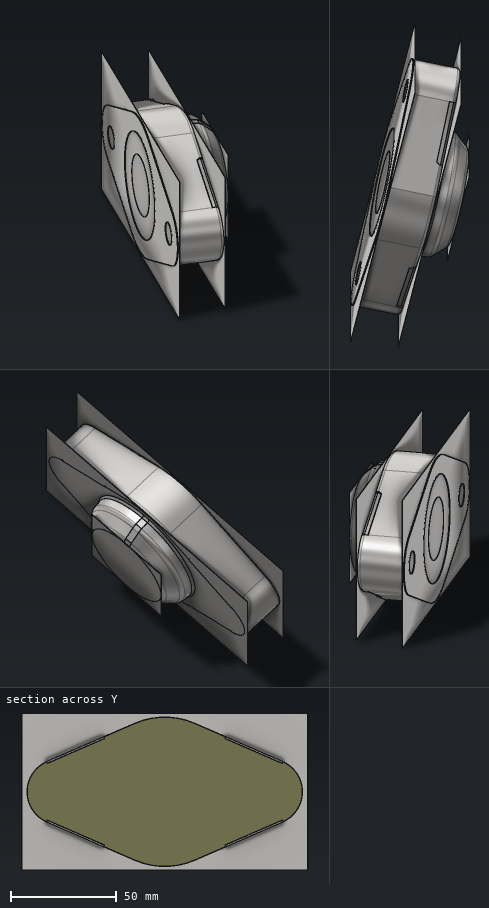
import cadquery as cq
import math

centre_radius = 35.3
end_radius = 15.5
end_offset = 49.5
outline_slope = math.asin((centre_radius - end_radius) / end_offset)

gasket_thickness = 0.4
sheet_thickness = 0.1
body_back = 23.3
rim_radius = 1.6
dome_top = 37.0

front_sheet_length = 135.2
front_sheet_height = 74.0
back_sheet_length = 132.0
back_sheet_height = 2 * centre_radius
pad_side = 54.1
pad_thickness = 0.4
dome_sheet_side = 45.5

mount_hole_radius = 5.5
gasket_opening_radius = 26.1
recess_radius = 15.0
recess_depth = 0.1

flare_radius = 31.6
wall_start_radius, wall_start = 30.8, 24.6
wall_end_radius, wall_end = 30.3, 28.7
cone_start_radius, cone_start = 29.0, 30.8
cone_end_radius, cone_end = 24.7, 35.5
dome_top_radius = 21.9

groove_width = 3.7
groove_depth = 0.1

notch_floor = 20.0
notch_break = 22.0
notch_wall_depth = 0.8
notch_depth = 1.5
notch_inner_x = 27.9
notch_end_run = 1.1


def slab(y_start, thickness):
    """XZ workplane at a depth, and the signed distance that extrudes it toward +Y."""
    return cq.Workplane("XZ", origin=(0, y_start, 0)), -thickness


def plate(length, height, y_start, thickness):
    plane, distance = slab(y_start, thickness)
    return plane.rect(length, height).extrude(distance)


def disc(radius, y_start, thickness, x_places=(0,)):
    plane, distance = slab(y_start, thickness)
    return plane.pushPoints([(x, 0) for x in x_places]).circle(radius).extrude(distance)


def lozenge(y_start, thickness):
    plane, distance = slab(y_start, thickness)
    normal_x = math.sin(outline_slope)
    normal_z = math.cos(outline_slope)
    centre_x = centre_radius * normal_x
    centre_z = centre_radius * normal_z
    end_x = end_offset + end_radius * normal_x
    end_z = end_radius * normal_z
    tip_x = end_offset + end_radius
    outline = (
        plane.moveTo(-centre_x, centre_z)
        .threePointArc((0, centre_radius), (centre_x, centre_z))
        .lineTo(end_x, end_z)
        .threePointArc((tip_x, 0), (end_x, -end_z))
        .lineTo(centre_x, -centre_z)
        .threePointArc((0, -centre_radius), (-centre_x, -centre_z))
        .lineTo(-end_x, -end_z)
        .threePointArc((-tip_x, 0), (-end_x, end_z))
        .close()
    )
    return outline.extrude(distance)


def side_notch(x_sign, z_sign):
    """Cutter for one rim notch along a sloping side: bevelled inner end, wall leaning in at the back."""
    cos_slope = math.cos(outline_slope)
    inner = (notch_inner_x - centre_radius * math.sin(outline_slope)) / cos_slope
    outer = end_offset * cos_slope
    cutter = (
        cq.Workplane("XY", origin=(0, 0, centre_radius - notch_depth))
        .moveTo(outer, notch_floor)
        .lineTo(inner + notch_end_run, notch_floor)
        .lineTo(inner, body_back - rim_radius)
        .lineTo(inner, body_back)
        .lineTo(outer, body_back)
        .close()
        .extrude(2 * notch_depth)
    )
    section = (
        cq.Workplane("YZ")
        .moveTo(notch_floor, centre_radius - notch_wall_depth)
        .lineTo(notch_break, centre_radius - notch_wall_depth)
        .lineTo(body_back, centre_radius - notch_depth)
        .lineTo(body_back, centre_radius + notch_depth)
        .lineTo(notch_floor, centre_radius + notch_depth)
        .close()
        .extrude(outer)
    )
    cutter = cutter.intersect(section)
    cutter = cutter.rotate((0, 0, 0), (0, 1, 0), math.degrees(outline_slope))
    if x_sign < 0:
        cutter = cutter.mirror("YZ")
    if z_sign < 0:
        cutter = cutter.mirror("XY")
    return cutter


def make_dome():
    profile = (
        cq.Workplane("XY")
        .moveTo(0, body_back)
        .lineTo(flare_radius, body_back)
        .lineTo(wall_start_radius, wall_start)
        .lineTo(wall_end_radius, wall_end)
        .tangentArcPoint((cone_start_radius, cone_start), relative=False)
        .lineTo(cone_end_radius, cone_end)
        .tangentArcPoint((dome_top_radius, dome_top), relative=False)
        .lineTo(0, dome_top)
        .close()
    )
    dome = profile.revolve(360, (0, 0, 0), (0, 1, 0))
    groove_profile = (
        cq.Workplane("YZ", origin=(-groove_width / 2, 0, 0))
        .moveTo(body_back, flare_radius - groove_depth)
        .lineTo(wall_start, wall_start_radius - groove_depth)
        .lineTo(wall_end, wall_end_radius - groove_depth)
        .lineTo(cone_start, cone_start_radius - groove_depth)
        .lineTo(cone_end, cone_end_radius - groove_depth)
        .lineTo(dome_top, dome_top_radius - groove_depth)
        .lineTo(dome_top, flare_radius)
        .lineTo(body_back, flare_radius)
        .close()
    )
    dome = dome.cut(groove_profile.extrude(groove_width))
    dome_sheet = plate(dome_sheet_side, dome_sheet_side, dome_top - sheet_thickness, sheet_thickness)
    return dome.union(dome_sheet)


def make_housing():
    body = lozenge(gasket_thickness, body_back - gasket_thickness).faces(">Y").edges().fillet(rim_radius)
    for x_sign in (-1, 1):
        for z_sign in (-1, 1):
            body = body.cut(side_notch(x_sign, z_sign))
    front_sheet = plate(front_sheet_length, front_sheet_height, gasket_thickness, sheet_thickness)
    back_sheet = plate(back_sheet_length, back_sheet_height, body_back - sheet_thickness, sheet_thickness)
    pad = plate(pad_side, pad_side, gasket_thickness, pad_thickness)
    recess = disc(recess_radius, gasket_thickness, recess_depth)
    return body.union(front_sheet).union(back_sheet).union(pad).union(make_dome()).cut(recess)


def make_gasket():
    opening = disc(gasket_opening_radius, 0, gasket_thickness)
    mount_holes = disc(mount_hole_radius, 0, gasket_thickness, (-end_offset, end_offset))
    return lozenge(0, gasket_thickness).cut(opening).cut(mount_holes)


housing = make_housing()
gasket = make_gasket()
result = cq.Compound.makeCompound([housing.val(), gasket.val()])